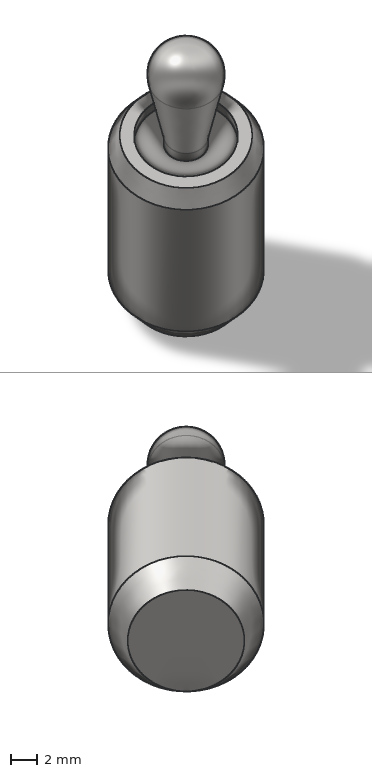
import cadquery as cq
import math

total_height = 30.2

housing_diameter = 12.0
housing_radius = housing_diameter / 2
housing_height = 19.5
bevel_angle = math.radians(30)
top_bevel_width = 0.9
bottom_bevel_width = 1.5
recess_radius = 4.0
recess_depth = 1.0

neck_radius = 1.72
ball_radius = 3.0

recess_floor = housing_height - recess_depth
ball_center = total_height - ball_radius

neck_drop = ball_center - housing_height
neck_to_center = math.hypot(neck_radius, neck_drop)
cone_tilt = math.asin(ball_radius / neck_to_center) - math.atan2(neck_radius, neck_drop)
tangent_radius = ball_radius * math.cos(cone_tilt)
tangent_height = ball_center - ball_radius * math.sin(cone_tilt)


def make_housing():
    """Revolve the beveled sleeve with its top recess about Z."""
    top_bevel_height = top_bevel_width / math.tan(bevel_angle)
    bottom_bevel_height = bottom_bevel_width / math.tan(bevel_angle)
    return (
        cq.Workplane("XZ")
        .moveTo(0, 0)
        .lineTo(housing_radius - bottom_bevel_width, 0)
        .lineTo(housing_radius, bottom_bevel_height)
        .lineTo(housing_radius, housing_height - top_bevel_height)
        .lineTo(housing_radius - top_bevel_width, housing_height)
        .lineTo(recess_radius, housing_height)
        .lineTo(recess_radius, recess_floor)
        .lineTo(0, recess_floor)
        .close()
        .revolve(360, (0, 0), (0, 1))
    )


def make_pin():
    """Revolve the ball-headed pin, standing on the recess floor, about Z."""
    arc_middle_angle = (math.pi / 2 - cone_tilt) / 2
    arc_middle = (
        ball_radius * math.cos(arc_middle_angle),
        ball_center + ball_radius * math.sin(arc_middle_angle),
    )
    return (
        cq.Workplane("XZ")
        .moveTo(0, recess_floor)
        .lineTo(neck_radius, recess_floor)
        .lineTo(neck_radius, housing_height)
        .lineTo(tangent_radius, tangent_height)
        .threePointArc(arc_middle, (0, total_height))
        .close()
        .revolve(360, (0, 0), (0, 1))
    )


housing = make_housing()
pin = make_pin()

result = cq.Compound.makeCompound([housing.val(), pin.val()])